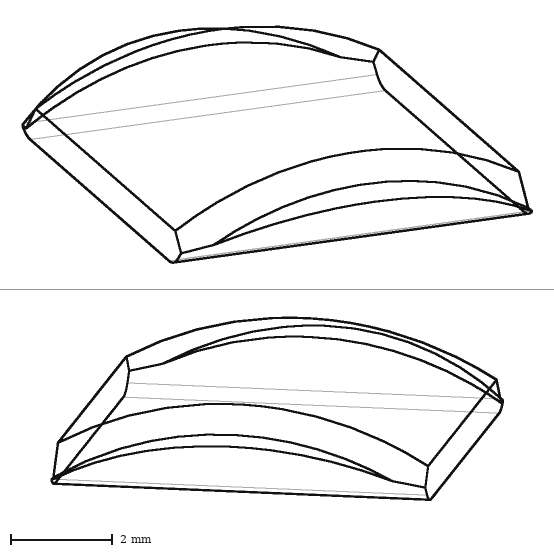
import cadquery as cq
import math

length = 10.4
width = 7.5
height = 1.75

crown_radius = 7.5
pad_thickness = 0.5
base_radius = crown_radius - pad_thickness
axis_z = height - crown_radius
base_height = axis_z + base_radius

bottom_half_length = length / 2 - base_height
bottom_edge_radius = 0.62

pad_length = 7.43
skew_angle = 4.7
end_overlap = 0.1
arc_half_angle = 35.0


def crown_cylinder(radius):
    return (
        cq.Workplane("YZ")
        .center(0, axis_z)
        .circle(radius)
        .extrude(length / 2, both=True)
    )


def flared_envelope():
    """Block with 45 degree end flanks and rounded lower end edges."""
    top_half_length = bottom_half_length + height
    return (
        cq.Workplane("XZ")
        .polyline([
            (-bottom_half_length, 0),
            (bottom_half_length, 0),
            (top_half_length, height),
            (-top_half_length, height),
        ])
        .close()
        .extrude(width / 2, both=True)
        .faces("<Z")
        .edges("|Y")
        .fillet(bottom_edge_radius)
    )


def pad_point(side, radius, angle):
    """Point on the left (side -1) or right (side 1) pad end."""
    y = radius * math.sin(math.radians(angle))
    z = axis_z + radius * math.cos(math.radians(angle))
    slope_offset = crown_radius - radius
    x = side * (pad_length / 2 + slope_offset) - y * math.tan(math.radians(skew_angle))
    return cq.Vector(x, y, z)


def pad_arc(side, radius):
    points = [pad_point(side, radius, angle) for angle in (-arc_half_angle, 0, arc_half_angle)]
    return cq.Edge.makeThreePointArc(*points)


def skewed_pad_block():
    """Curved block whose two ends are ruled between an inner and an outer arc."""
    inner_radius = base_radius - end_overlap
    outer_radius = crown_radius + end_overlap
    corners = [(-1, inner_radius), (1, inner_radius), (1, outer_radius), (-1, outer_radius)]
    arcs = [pad_arc(side, radius) for side, radius in corners]
    faces = [cq.Face.makeRuledSurface(arcs[i - 1], arcs[i]) for i in range(len(arcs))]
    for angle in (-arc_half_angle, arc_half_angle):
        outline = [pad_point(side, radius, angle) for side, radius in corners]
        faces.append(cq.Face.makeFromWires(cq.Wire.makePolygon(outline, close=True)))
    return cq.Workplane(cq.Solid.makeSolid(cq.Shell.makeShell(faces)).fix())


envelope = flared_envelope()
base = envelope.intersect(crown_cylinder(base_radius))
pad = envelope.intersect(crown_cylinder(crown_radius)).intersect(skewed_pad_block())
result = base.union(pad)